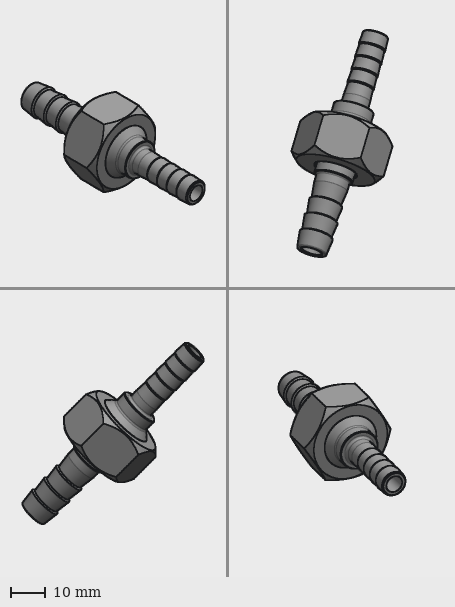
import cadquery as cq
import math

TOTAL_LENGTH = 68.0

NUT_START = 25.5
NUT_LENGTH = 13.5
NUT_END = NUT_START + NUT_LENGTH
ACROSS_FLATS = 24.0
ACROSS_CORNERS = ACROSS_FLATS / math.cos(math.pi / 6)
NUT_FACE_RADIUS = 23.5 / 2
NUT_CORNER_CHAMFER = ACROSS_CORNERS / 2 - NUT_FACE_RADIUS
NUT_BORE_RADIUS = 12.3 / 2
NUT_MOUTH_CHAMFER = 0.3
NUT_LIP_LENGTH = 2.7
NUT_CAVITY_RADIUS = 16.6 / 2
LIP_END = NUT_START + NUT_LIP_LENGTH

JOINT_X = LIP_END + 2.7

LARGE_BORE_RADIUS = 6.0 / 2
LARGE_BORE_CHAMFER = 0.3
LARGE_PEAK_RADIUS = 10.0 / 2
LARGE_VALLEY_RADIUS = 4.4
LARGE_BARB_PITCH = 5.0
LARGE_BARB_COUNT = 3
LARGE_BARB_BACK = 0.44
LARGE_TIP_ROUND = 0.35
LARGE_COLLAR_START = 23.0
LARGE_COLLAR_RADIUS = 11.5 / 2
LARGE_COLLAR_CHAMFER = 0.3
LARGE_ROOT_FILLET = 0.4

SMALL_BORE_RADIUS = 5.0 / 2
SMALL_PEAK_RADIUS = 8.0 / 2
SMALL_VALLEY_RADIUS = 3.8
SMALL_BARB_PITCH = 4.0
SMALL_BARB_COUNT = 4
SMALL_BARB_BACK = 0.4
SMALL_TIP_CHAMFER = 0.35
SMALL_COLLAR_END = 44.9
SMALL_COLLAR_RADIUS = 12.0 / 2
SMALL_COLLAR_CHAMFER = 0.2
SMALL_ROOT_FILLET = 0.75
CONE_START = 38.95
CONE_FILLET = 0.9


def revolve_about_x(profile):
    """Turn a closed (x, radius) profile around the X axis."""
    return profile.close().revolve(360, (0, 0, 0), (1, 0, 0))


def barb_points(tip_x, direction, count, pitch, back, valley, peak):
    """Sawtooth points from the first peak to the last ramp's end; direction is +1 or -1 along X."""
    points = []
    for index in range(1, count + 1):
        peak_x = tip_x + direction * index * pitch
        points.append((peak_x, peak))
        points.append((peak_x + direction * back, valley))
    points.append((tip_x + direction * (count + 1) * pitch, peak))
    return points


def make_nut():
    hexagon = cq.Workplane("YZ", origin=(NUT_START, 0, 0)).polygon(6, ACROSS_CORNERS).extrude(NUT_LENGTH)

    corner_radius = NUT_FACE_RADIUS + NUT_CORNER_CHAMFER
    envelope = revolve_about_x(cq.Workplane("XY").polyline([
        (NUT_START, 0),
        (NUT_START, NUT_FACE_RADIUS),
        (NUT_START + NUT_CORNER_CHAMFER, corner_radius),
        (NUT_END - NUT_CORNER_CHAMFER, corner_radius),
        (NUT_END, NUT_FACE_RADIUS),
        (NUT_END, 0),
    ]))

    bore = revolve_about_x(cq.Workplane("XY").polyline([
        (NUT_START, 0),
        (NUT_START, NUT_BORE_RADIUS + NUT_MOUTH_CHAMFER),
        (NUT_START + NUT_MOUTH_CHAMFER, NUT_BORE_RADIUS),
        (LIP_END, NUT_BORE_RADIUS),
        (LIP_END, NUT_CAVITY_RADIUS),
        (NUT_END, NUT_CAVITY_RADIUS),
        (NUT_END, 0),
    ]))
    return hexagon.intersect(envelope).cut(bore)


def make_large_tail():
    """Barbed tail with a collar through the lip bore and a flange held behind the lip."""
    barbs = barb_points(
        0, 1, LARGE_BARB_COUNT, LARGE_BARB_PITCH, LARGE_BARB_BACK, LARGE_VALLEY_RADIUS, LARGE_PEAK_RADIUS
    )
    profile = (
        cq.Workplane("XY")
        .moveTo(LARGE_BORE_CHAMFER, LARGE_BORE_RADIUS)
        .lineTo(0, LARGE_BORE_RADIUS + LARGE_BORE_CHAMFER)
        .lineTo(0, LARGE_VALLEY_RADIUS - LARGE_TIP_ROUND)
        .radiusArc((LARGE_TIP_ROUND, LARGE_VALLEY_RADIUS), LARGE_TIP_ROUND)
    )
    for point in barbs:
        profile = profile.lineTo(*point)
    profile = (
        profile.lineTo(LARGE_COLLAR_START - LARGE_ROOT_FILLET, LARGE_PEAK_RADIUS)
        .radiusArc((LARGE_COLLAR_START, LARGE_PEAK_RADIUS + LARGE_ROOT_FILLET), -LARGE_ROOT_FILLET)
        .lineTo(LARGE_COLLAR_START, LARGE_COLLAR_RADIUS - LARGE_COLLAR_CHAMFER)
        .lineTo(LARGE_COLLAR_START + LARGE_COLLAR_CHAMFER, LARGE_COLLAR_RADIUS)
        .lineTo(LIP_END, LARGE_COLLAR_RADIUS)
        .lineTo(LIP_END, NUT_CAVITY_RADIUS)
        .lineTo(JOINT_X, NUT_CAVITY_RADIUS)
        .lineTo(JOINT_X, LARGE_BORE_RADIUS)
    )
    return revolve_about_x(profile)


def make_small_tail():
    """Barbed tail with a collar and a 45 degree cone leading to the plug inside the nut."""
    barbs = barb_points(
        TOTAL_LENGTH, -1, SMALL_BARB_COUNT, SMALL_BARB_PITCH, SMALL_BARB_BACK,
        SMALL_VALLEY_RADIUS, SMALL_PEAK_RADIUS,
    )

    cone_end_x = CONE_START + NUT_CAVITY_RADIUS - SMALL_COLLAR_RADIUS
    tangent_length = CONE_FILLET * math.tan(math.pi / 8)
    cone_tangent_shift = tangent_length * math.sqrt(0.5)
    profile = (
        cq.Workplane("XY")
        .moveTo(TOTAL_LENGTH, SMALL_BORE_RADIUS)
        .lineTo(TOTAL_LENGTH, SMALL_VALLEY_RADIUS - SMALL_TIP_CHAMFER)
        .lineTo(TOTAL_LENGTH - SMALL_TIP_CHAMFER, SMALL_VALLEY_RADIUS)
    )
    for point in barbs:
        profile = profile.lineTo(*point)
    profile = (
        profile.lineTo(SMALL_COLLAR_END + SMALL_ROOT_FILLET, SMALL_PEAK_RADIUS)
        .radiusArc((SMALL_COLLAR_END, SMALL_PEAK_RADIUS + SMALL_ROOT_FILLET), SMALL_ROOT_FILLET)
        .lineTo(SMALL_COLLAR_END, SMALL_COLLAR_RADIUS - SMALL_COLLAR_CHAMFER)
        .lineTo(SMALL_COLLAR_END - SMALL_COLLAR_CHAMFER, SMALL_COLLAR_RADIUS)
        .lineTo(cone_end_x + tangent_length, SMALL_COLLAR_RADIUS)
        .radiusArc(
            (cone_end_x - cone_tangent_shift, SMALL_COLLAR_RADIUS + cone_tangent_shift), CONE_FILLET
        )
        .lineTo(CONE_START, NUT_CAVITY_RADIUS)
        .lineTo(JOINT_X, NUT_CAVITY_RADIUS)
        .lineTo(JOINT_X, SMALL_BORE_RADIUS)
    )
    return revolve_about_x(profile)


nut = make_nut()
large_tail = make_large_tail()
small_tail = make_small_tail()

result = cq.Compound.makeCompound([nut.val(), large_tail.val(), small_tail.val()])